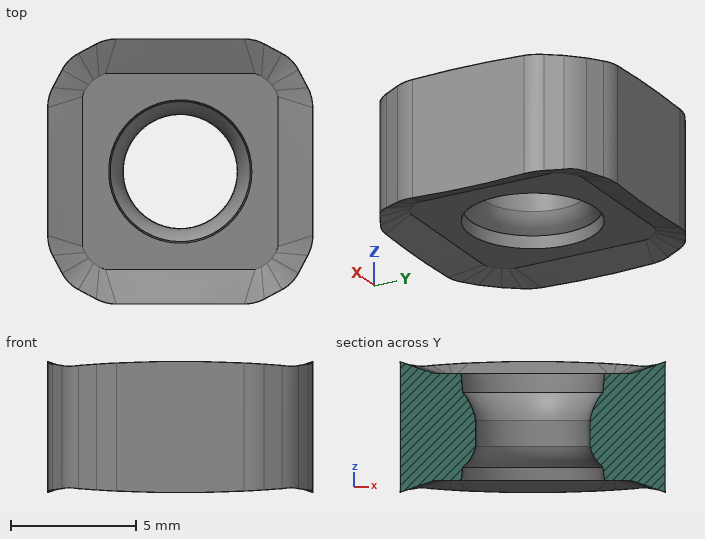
import cadquery as cq
import math

half_width = 5.3
facet_angle = math.radians(28)
corner_apex = 4.49
shoulder_radius = 1.7
corner_radius = 1.59

rim_height = 2.63
rim_curve_radius = 50.88
plateau_height = 2.14
plateau_half_width = 3.91
plateau_flat_half = 2.99
plateau_corner_bulge = 0.16

bore_radius = 4.56 / 2
mouth_radius = 2.86
throat_radius = 2.8
top_throat_z = 1.39
bottom_throat_z = -1.61
bore_top_z = 0.25
bore_bottom_z = -0.77
seat_bulge = 0.08


def rim_point(x, y):
    along_side = min(abs(x), abs(y))
    drop = rim_curve_radius - math.sqrt(rim_curve_radius**2 - along_side**2)
    return x, y, rim_height - drop


def place(point, quarter, side):
    """Turn a point by quarter turns about Z and mirror it to the given side."""
    angle = quarter * math.pi / 2
    x, y, z = point
    turned_x = x * math.cos(angle) - y * math.sin(angle)
    turned_y = x * math.sin(angle) + y * math.cos(angle)
    return cq.Vector(turned_x, turned_y, side * z)


def arc_points(center, radius, start, end):
    """Start, middle and end of an arc on the rim."""
    angles = (start, (start + end) / 2, end)
    return [rim_point(center[0] + radius * math.cos(a), center[1] + radius * math.sin(a)) for a in angles]


def straight_points(start, end):
    middle = rim_point((start[0] + end[0]) / 2, (start[1] + end[1]) / 2)
    return [start, middle, end]


def rim_segments():
    """Three points for each edge of one quarter: side, shoulder, facet, corner, facet, shoulder."""
    shoulder_start = (
        corner_apex
        - (half_width - corner_apex) / math.tan(facet_angle)
        - shoulder_radius * math.tan(facet_angle / 2)
    )
    center_x = half_width - shoulder_radius
    corner_center = corner_apex - corner_radius / (math.sin(facet_angle) + math.cos(facet_angle))
    right_angle = math.pi / 2

    first_shoulder = arc_points((center_x, shoulder_start), shoulder_radius, 0, facet_angle)
    corner = arc_points(
        (corner_center, corner_center), corner_radius, facet_angle, right_angle - facet_angle
    )
    last_shoulder = arc_points(
        (shoulder_start, center_x), shoulder_radius, right_angle - facet_angle, right_angle
    )
    side = straight_points(rim_point(half_width, -shoulder_start), first_shoulder[0])
    first_facet = straight_points(first_shoulder[-1], corner[0])
    last_facet = straight_points(corner[-1], last_shoulder[0])
    return [side, first_shoulder, first_facet, corner, last_facet, last_shoulder]


def plateau_segments(corner_edges):
    """One straight edge, then the corner arc split to pair with the rim edges."""
    start = (plateau_half_width, plateau_flat_half)
    half_chord = (plateau_half_width - plateau_flat_half) / math.sqrt(2)
    radius = (half_chord**2 + plateau_corner_bulge**2) / (2 * plateau_corner_bulge)
    half_sweep = math.asin(half_chord / radius)
    center = (plateau_half_width + plateau_flat_half) / 2 - radius * math.cos(half_sweep) / math.sqrt(2)

    def arc_point(fraction):
        angle = math.pi / 4 + half_sweep * (2 * fraction - 1)
        return center + radius * math.cos(angle), center + radius * math.sin(angle), plateau_height

    segments = [[(plateau_half_width, -plateau_flat_half, plateau_height), (*start, plateau_height)]]
    for i in range(corner_edges):
        segments.append([arc_point((i + step) / corner_edges) for step in (0, 0.5, 1)])
    return segments


def closed_wire(segments, side):
    edges = []
    for quarter in range(4):
        for segment in segments:
            points = [place(point, quarter, side) for point in segment]
            if len(points) == 2:
                edges.append(cq.Edge.makeLine(*points))
            else:
                edges.append(cq.Edge.makeSpline(points))
    return cq.Wire.assembleEdges(edges)


def body():
    rim = rim_segments()
    plateau = plateau_segments(len(rim) - 1)
    wires = [
        closed_wire(plateau, -1),
        closed_wire(rim, -1),
        closed_wire(rim, 1),
        closed_wire(plateau, 1),
    ]
    return cq.Workplane(cq.Solid.makeLoft(wires, True))


def seat_middle(throat_z, bore_z):
    """Middle of the bowed seat profile between a throat and the cylindrical bore."""
    rise = abs(throat_z - bore_z)
    run = throat_radius - bore_radius
    outward = math.copysign(1, throat_z)
    chord = math.hypot(rise, run)
    radius = (throat_radius + bore_radius) / 2 - seat_bulge * rise / chord
    return radius, (throat_z + bore_z) / 2 + outward * seat_bulge * run / chord


def bore():
    """Through hole with a bowed screw seat and a tapered mouth at both ends."""
    return (
        cq.Workplane("XZ")
        .moveTo(0, -plateau_height)
        .lineTo(mouth_radius, -plateau_height)
        .lineTo(throat_radius, bottom_throat_z)
        .threePointArc(seat_middle(bottom_throat_z, bore_bottom_z), (bore_radius, bore_bottom_z))
        .lineTo(bore_radius, bore_top_z)
        .threePointArc(seat_middle(top_throat_z, bore_top_z), (throat_radius, top_throat_z))
        .lineTo(mouth_radius, plateau_height)
        .lineTo(0, plateau_height)
        .close()
        .revolve(360, (0, 0, 0), (0, 1, 0))
    )


result = body().cut(bore())